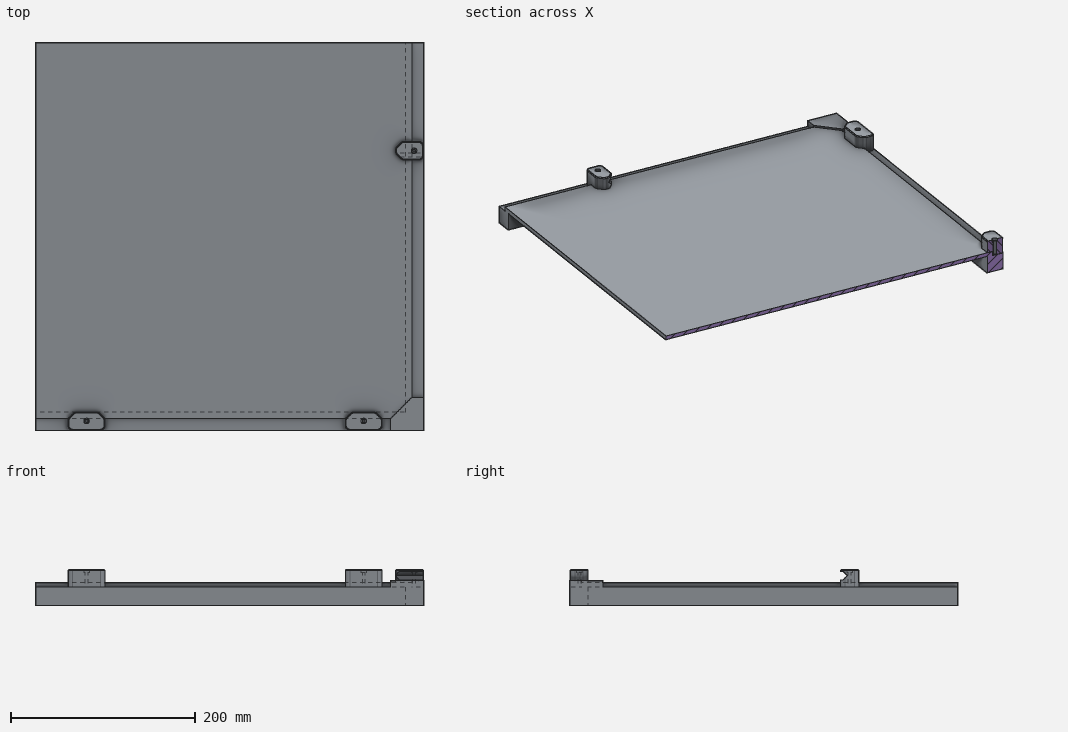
import cadquery as cq

SIDE = 420.0
RAIL_WIDTH = 20.0
RAIL_HEIGHT = 20.0
PLATE_THICKNESS = 5.0
PLATE_TOP = RAIL_HEIGHT + PLATE_THICKNESS
LEDGE_WIDTH = 13.0
CORNER_SIZE = 36.0
CORNER_TOP = 27.0

CLIP_TOP = 39.0
CLIP_SETBACK = 0.5
CLIP_CORNER = 7.0
CLIP_ROUNDING = 5.0
TOP_CHAMFER = 1.0
HOLE_DIAMETER = 3.2
COUNTERBORE_DIAMETER = 6.0
COUNTERBORE_DEPTH = 3.0
HOLE_INSET = CLIP_SETBACK + 10.0

FRONT_CLIP_LENGTH = 40.0
FRONT_CLIP_REACH = 20.0
FRONT_CLIP_CENTRES = (55.0, 355.0)

SIDE_CLIP_REACH = 30.5
SIDE_CLIP_WIDTH = 20.0
SIDE_CLIP_CENTRE = 303.0
NOTCH_HEIGHT = 9.0
NOTCH_STRAIGHT = 3.0
NOTCH_MIDDLE = 32.5


def box(x0, x1, y0, y1, z0, z1):
    return cq.Workplane("XY").box(x1 - x0, y1 - y0, z1 - z0, centered=False).translate((x0, y0, z0))


def make_base():
    plate_edge = SIDE - LEDGE_WIDTH
    corner_start = SIDE - CORNER_SIZE
    plate = box(0, plate_edge, LEDGE_WIDTH, SIDE, RAIL_HEIGHT, PLATE_TOP)
    front_rail = box(0, SIDE, 0, RAIL_WIDTH, 0, RAIL_HEIGHT)
    side_rail = box(SIDE - RAIL_WIDTH, SIDE, 0, SIDE, 0, RAIL_HEIGHT)
    corner_outline = [
        (corner_start, 0),
        (SIDE, 0),
        (SIDE, CORNER_SIZE),
        (plate_edge, CORNER_SIZE),
        (corner_start, LEDGE_WIDTH),
    ]
    corner = (
        cq.Workplane("XY")
        .workplane(offset=RAIL_HEIGHT)
        .polyline(corner_outline)
        .close()
        .extrude(CORNER_TOP - RAIL_HEIGHT)
    )
    return front_rail.union(side_rail).union(plate).union(corner)


def clip_blank(x0, x1, y0, y1, plate_side_edges):
    """Block with cut corners toward the plate, rounded upright edges and a chamfered top."""
    blank = box(x0, x1, y0, y1, RAIL_HEIGHT, CLIP_TOP)
    blank = blank.edges(plate_side_edges).chamfer(CLIP_CORNER)
    blank = blank.edges("|Z").fillet(CLIP_ROUNDING)
    return blank.faces(">Z").chamfer(TOP_CHAMFER)


def drill(clip, x, y):
    return (
        clip.faces(">Z")
        .workplane(origin=(x, y, CLIP_TOP))
        .cboreHole(HOLE_DIAMETER, COUNTERBORE_DIAMETER, COUNTERBORE_DEPTH)
    )


def make_front_clip(centre):
    x0 = centre - FRONT_CLIP_LENGTH / 2
    x1 = centre + FRONT_CLIP_LENGTH / 2
    clip = clip_blank(x0, x1, CLIP_SETBACK, FRONT_CLIP_REACH, "|Z and >Y")
    plate_room = box(x0, x1, LEDGE_WIDTH, FRONT_CLIP_REACH, RAIL_HEIGHT, PLATE_TOP)
    return drill(clip.cut(plate_room), centre, HOLE_INSET)


def make_side_clip():
    x0 = SIDE - SIDE_CLIP_REACH
    y0 = SIDE_CLIP_CENTRE - SIDE_CLIP_WIDTH / 2
    y1 = SIDE_CLIP_CENTRE + SIDE_CLIP_WIDTH / 2
    clip = clip_blank(x0, SIDE - CLIP_SETBACK, y0, y1, "|Z and <X")
    plate_room = box(x0, SIDE - LEDGE_WIDTH, y0, y1, RAIL_HEIGHT, PLATE_TOP)

    low = NOTCH_MIDDLE - NOTCH_HEIGHT / 2
    high = NOTCH_MIDDLE + NOTCH_HEIGHT / 2
    bend = y0 + NOTCH_STRAIGHT
    apex = bend + NOTCH_HEIGHT / 2
    notch = (
        cq.Workplane("YZ")
        .workplane(offset=x0)
        .polyline([(y0, low), (bend, low), (apex, NOTCH_MIDDLE), (bend, high), (y0, high)])
        .close()
        .extrude(SIDE_CLIP_REACH)
    )
    return drill(clip.cut(plate_room).cut(notch), SIDE - HOLE_INSET, SIDE_CLIP_CENTRE)


base = make_base()
front_clips = [make_front_clip(centre) for centre in FRONT_CLIP_CENTRES]
side_clip = make_side_clip()

result = cq.Compound.makeCompound([base.val(), *[clip.val() for clip in front_clips], side_clip.val()])